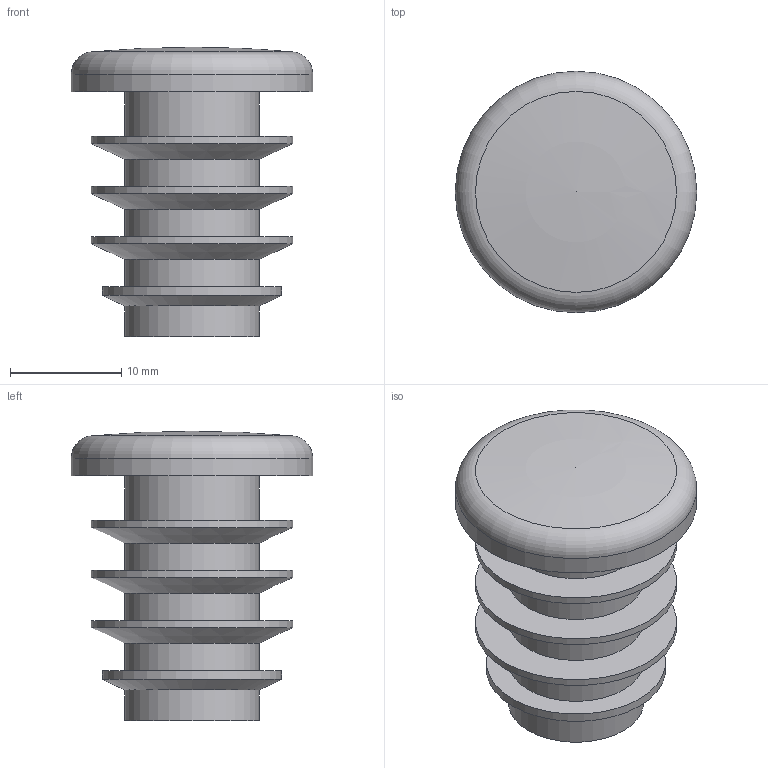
import cadquery as cq
import math


stem_diameter = 12.1
stem_length = 22.0

head_diameter = 21.7
head_crown_height = 4.0
crown_radius = 100.0
head_edge_radius = 2.0

rib_pitch = 4.5
rib_diameter = 18.1
rib_rim_height = 0.65
lead_rib_diameter = 16.1
lead_rib_rim_height = 0.8
full_rib_count = 3
rib_cone_angle = 25.0

stem_radius = stem_diameter / 2
head_radius = head_diameter / 2


def make_stem():
    return cq.Workplane("XY").circle(stem_radius).extrude(stem_length)


def make_head():
    """Disc with a shallow spherical crown and a rounded edge tangent to the crown and the side."""
    crown_top = stem_length + head_crown_height
    crown_center_z = crown_top - crown_radius

    edge_center_x = head_radius - head_edge_radius
    edge_center_z = crown_center_z + math.sqrt((crown_radius - head_edge_radius) ** 2 - edge_center_x**2)
    tangent_angle = math.atan2(edge_center_z - crown_center_z, edge_center_x)

    def edge_point(angle):
        x = edge_center_x + head_edge_radius * math.cos(angle)
        z = edge_center_z + head_edge_radius * math.sin(angle)
        return (x, z)

    def crown_point(angle):
        return (crown_radius * math.cos(angle), crown_center_z + crown_radius * math.sin(angle))

    return (
        cq.Workplane("XZ")
        .moveTo(0, stem_length)
        .lineTo(head_radius, stem_length)
        .lineTo(head_radius, edge_center_z)
        .threePointArc(edge_point(tangent_angle / 2), edge_point(tangent_angle))
        .threePointArc(crown_point((tangent_angle + math.pi / 2) / 2), (0, crown_top))
        .close()
        .revolve(360, (0, 0), (0, 1))
    )


def make_rib(diameter, rim_height, top_z):
    """Rib whose flat top lies at top_z and whose cone runs down to the stem."""
    radius = diameter / 2
    rim_bottom = top_z - rim_height
    cone_bottom = rim_bottom - (radius - stem_radius) * math.tan(math.radians(rib_cone_angle))
    return (
        cq.Workplane("XZ")
        .moveTo(0, top_z)
        .lineTo(radius, top_z)
        .lineTo(radius, rim_bottom)
        .lineTo(stem_radius, cone_bottom)
        .lineTo(0, cone_bottom)
        .close()
        .revolve(360, (0, 0), (0, 1))
    )


plug = make_stem().union(make_head())

plug = plug.union(make_rib(lead_rib_diameter, lead_rib_rim_height, rib_pitch))
for index in range(full_rib_count):
    rib_top = rib_pitch * (index + 2)
    plug = plug.union(make_rib(rib_diameter, rib_rim_height, rib_top))

result = plug